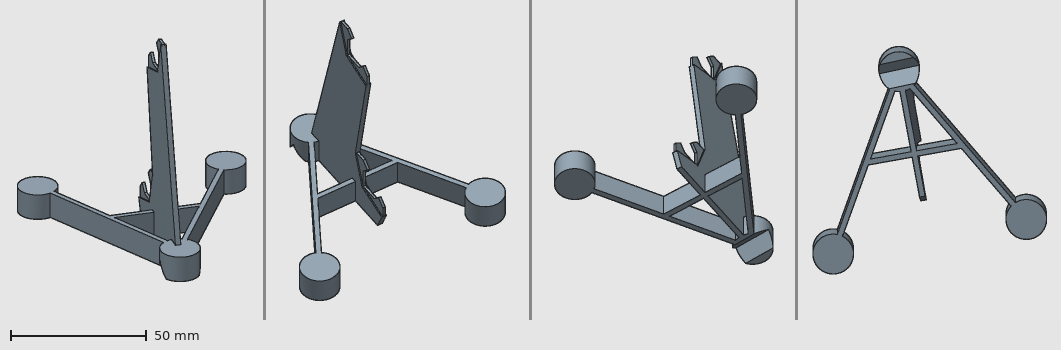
import cadquery as cq
import math

length_x = 77.9
width_y = 87.15
foot_radius = 7.5
base_height = 10.1
front_foot_x = foot_radius
front_foot_y = width_y / 2 - foot_radius
back_foot_x = length_x - foot_radius

wall = 2.1
hook_thickness = 1.05
crossbeam_x = 39.0

total_height = 83.6
plate_toe_x = 22.8
plate_heel_x = 68.0

seat_reach = 13.5
seat_offset = 4.5
barb_size = 2.9
barb_base = seat_reach - 2 * barb_size
upper_seat = (44.3, total_height - seat_reach)
lower_seat = (33.55, 11.1)

notch_apex_x = 70.15
notch_height = 5.5
notch_left_run = 5.2
notch_right_run = 4.4
notch_yaw = -2.0


def offset_from(corner, dx, dz):
    return (corner[0] + dx, corner[1] + dz)


def extrude_centred(points, thickness):
    """Extrude an XZ outline symmetrically about the plane Y = 0."""
    return cq.Workplane("XZ").polyline(points).close().extrude(thickness / 2, both=True)


def seat_top(corner):
    return offset_from(corner, seat_offset, seat_reach)


def seat_front(corner):
    return offset_from(corner, -seat_reach, -seat_offset)


def make_foot(x, y):
    return cq.Workplane("XY").center(x, y).circle(foot_radius).extrude(base_height)


def make_arm(side):
    """Straight wall joining the back foot to the front foot on one side."""
    run_x = front_foot_x - back_foot_x
    run_y = side * front_foot_y
    return (
        cq.Workplane("XY")
        .box(math.hypot(run_x, run_y), wall, base_height, centered=(False, True, False))
        .rotate((0, 0, 0), (0, 0, 1), math.degrees(math.atan2(run_y, run_x)))
        .translate((back_foot_x, 0, 0))
    )


def make_crossbeam():
    slope = front_foot_y / (back_foot_x - front_foot_x)
    half_span = (back_foot_x - crossbeam_x) * slope
    return (
        cq.Workplane("XY")
        .box(wall, 2 * half_span, base_height, centered=(True, True, False))
        .translate((crossbeam_x, 0, 0))
    )


def make_plate():
    outline = [
        (plate_toe_x, 0),
        seat_front(lower_seat),
        lower_seat,
        seat_top(lower_seat),
        seat_front(upper_seat),
        upper_seat,
        seat_top(upper_seat),
        (plate_heel_x, base_height),
        (plate_heel_x, 0),
    ]
    return extrude_centred(outline, wall)


def make_hooks(corner):
    """Thin pair of barbed fingers filling the V of the plate at a seat corner."""
    barb_middle = barb_base + barb_size
    upright = [
        (seat_offset, seat_reach),
        (0, seat_reach),
        (-barb_size, barb_middle),
        (0, barb_base),
    ]
    lying = [(-dz, -dx) for dx, dz in reversed(upright)]
    inside = (seat_offset, -seat_offset)
    offsets = upright + [(0, 0)] + lying + [inside]
    return extrude_centred([offset_from(corner, dx, dz) for dx, dz in offsets], hook_thickness)


def make_notch():
    outline = [
        (notch_apex_x - notch_left_run, 0),
        (notch_apex_x, notch_height),
        (notch_apex_x + notch_right_run, 0),
    ]
    notch = extrude_centred(outline, 2.5 * foot_radius)
    return notch.rotate((notch_apex_x, 0, 0), (notch_apex_x, 0, 1), notch_yaw)


result = make_foot(back_foot_x, 0)
for side in (-1, 1):
    result = result.union(make_foot(front_foot_x, side * front_foot_y))
    result = result.union(make_arm(side))
result = result.union(make_crossbeam()).union(make_plate())
for seat in (upper_seat, lower_seat):
    result = result.union(make_hooks(seat))
result = result.cut(make_notch())